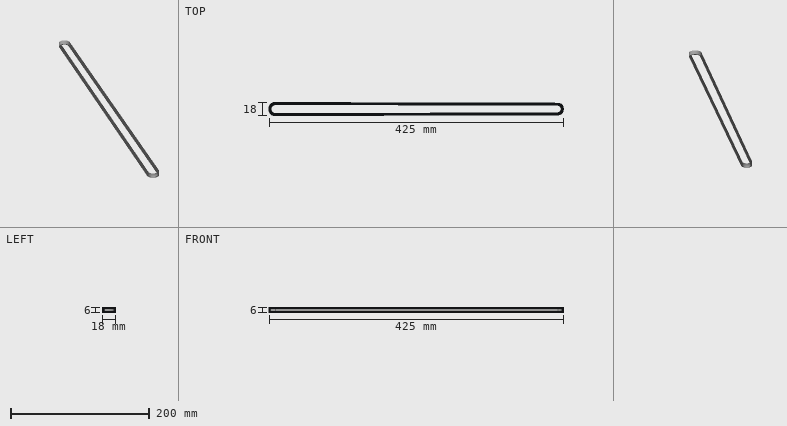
import cadquery as cq
import math

large_outer_radius = 9.0
small_outer_radius = 8.0
pulley_spacing = 408.0
belt_thickness = 2.0
belt_width = 6.0

taper_angle = math.asin((large_outer_radius - small_outer_radius) / pulley_spacing)


def belt_loop(inset):
    """Solid bounded by two arcs and their common tangents, set in from the outer belt face."""
    large_radius = large_outer_radius - inset
    small_radius = small_outer_radius - inset

    def tangent_point(center_x, radius, side):
        return (
            center_x + radius * math.sin(taper_angle),
            side * radius * math.cos(taper_angle),
        )

    return (
        cq.Workplane("XY")
        .moveTo(*tangent_point(0, large_radius, -1))
        .lineTo(*tangent_point(pulley_spacing, small_radius, -1))
        .threePointArc(
            (pulley_spacing + small_radius, 0),
            tangent_point(pulley_spacing, small_radius, 1),
        )
        .lineTo(*tangent_point(0, large_radius, 1))
        .threePointArc((-large_radius, 0), tangent_point(0, large_radius, -1))
        .close()
        .extrude(belt_width / 2, both=True)
    )


outer_loop = belt_loop(0)
inner_opening = belt_loop(belt_thickness)
result = outer_loop.cut(inner_opening)